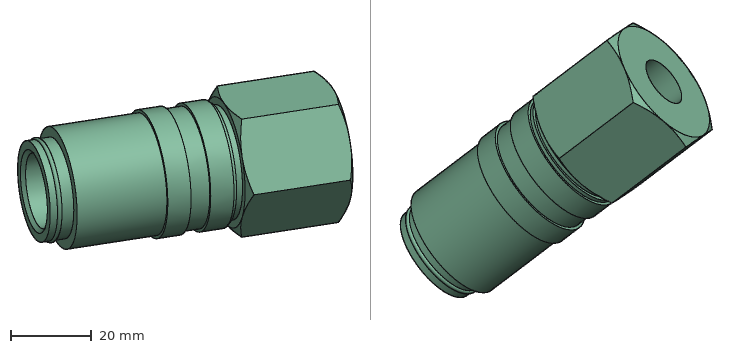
import cadquery as cq
import math

TOTAL_LENGTH = 78.0

HEX_FLATS = 33.0
HEX_FRONT = 49.8
HEX_CHAMFER_ANGLE = 30.0

NECK_RADIUS = 12.8
NECK_LENGTH = 6.2
BODY_RADIUS = 15.45
BODY_END = 47.9
GROOVE_RADIUS = 14.5

BAND_RADIUS = 16.2
BAND_WIDTH = 6.1
BAND_STARTS = (29.65, 40.9)

BEAD_Y = 2.5
BEAD_SECTION_RADIUS = 0.6
BEAD_OUTER_RADIUS = 13.25

SOCKET_RADIUS = 9.5
SOCKET_DEPTH = 35.1
MOUTH_RADIUS = 10.5
BORE_RADIUS = 6.5


def cylinder(radius, start, end):
    """Solid cylinder on the Y axis between two Y positions."""
    plane = cq.Plane(origin=(0, start, 0), xDir=(1, 0, 0), normal=(0, 1, 0))
    return cq.Workplane(plane).circle(radius).extrude(end - start)


def revolve_about_y(profile):
    return profile.revolve(360, (0, 0, 0), (0, 1, 0))


def hex_section():
    """Hexagon with corners on X, its corners turned down by a cone at both ends."""
    corner_radius = HEX_FLATS / math.sqrt(3)
    flat_radius = HEX_FLATS / 2
    corner_drop = (corner_radius - flat_radius) * math.tan(math.radians(HEX_CHAMFER_ANGLE))
    plane = cq.Plane(origin=(0, HEX_FRONT, 0), xDir=(1, 0, 0), normal=(0, 1, 0))
    prism = cq.Workplane(plane).polygon(6, 2 * corner_radius).extrude(TOTAL_LENGTH - HEX_FRONT)
    envelope = revolve_about_y(
        cq.Workplane("XY")
        .moveTo(0, HEX_FRONT)
        .lineTo(flat_radius, HEX_FRONT)
        .lineTo(corner_radius, HEX_FRONT + corner_drop)
        .lineTo(corner_radius, TOTAL_LENGTH - corner_drop)
        .lineTo(flat_radius, TOTAL_LENGTH)
        .lineTo(0, TOTAL_LENGTH)
        .close()
    )
    return prism.intersect(envelope)


def bead():
    center_radius = BEAD_OUTER_RADIUS - BEAD_SECTION_RADIUS
    return revolve_about_y(
        cq.Workplane("XY").pushPoints([(center_radius, BEAD_Y)]).circle(BEAD_SECTION_RADIUS)
    )


def stepped_bore():
    """Through bore opening into a wider socket with a 45 degree lead-in."""
    lead_in = MOUTH_RADIUS - SOCKET_RADIUS
    return revolve_about_y(
        cq.Workplane("XY")
        .lineTo(MOUTH_RADIUS, 0)
        .lineTo(SOCKET_RADIUS, lead_in)
        .lineTo(SOCKET_RADIUS, SOCKET_DEPTH)
        .lineTo(BORE_RADIUS, SOCKET_DEPTH)
        .lineTo(BORE_RADIUS, TOTAL_LENGTH)
        .lineTo(0, TOTAL_LENGTH)
        .close()
    )


result = hex_section()
result = result.union(cylinder(GROOVE_RADIUS, BODY_END, HEX_FRONT))
result = result.union(cylinder(BODY_RADIUS, NECK_LENGTH, BODY_END))
result = result.union(cylinder(NECK_RADIUS, 0, NECK_LENGTH))
for band_start in BAND_STARTS:
    result = result.union(cylinder(BAND_RADIUS, band_start, band_start + BAND_WIDTH))
result = result.union(bead())
result = result.cut(stepped_bore())